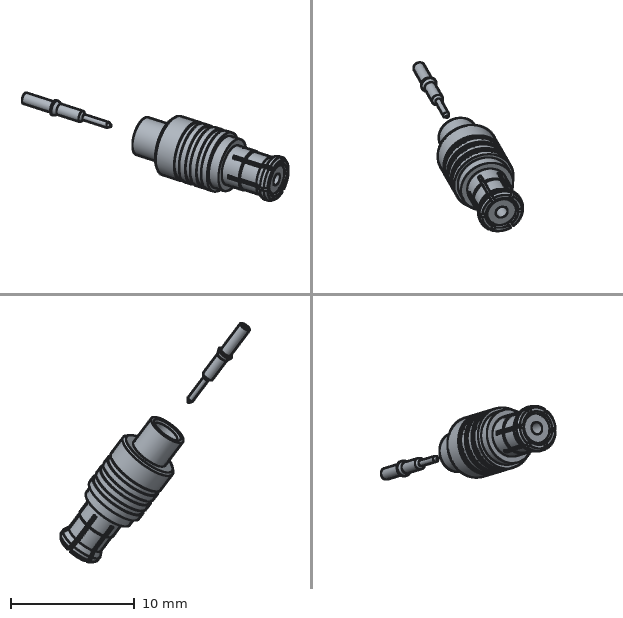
import cadquery as cq


tube_diameter = 3.2
tube_length = 2.55
tube_bore_diameter = 2.24
tube_mouth_diameter = 2.64
tube_mouth_depth = (tube_mouth_diameter - tube_bore_diameter) / 2
grip_diameter = 5.0
grip_length = 5.0
grip_end = tube_length + grip_length
grip_chamfer = 0.2
stop_hole_diameter = 1.75
stop_thickness = 1.0
groove_diameter = 4.8
groove_width = 0.45
groove_pitch = 1.04
groove_count = 3
first_groove_start = 4.45

overall_length = 12.75
flange_diameter = 4.4
flange_end = 8.45
finger_root_diameter = 3.35
finger_root_end = 10.05
finger_taper_length = 0.08
finger_diameter = 3.23
finger_end = 11.65
bead_diameter = 3.7
bead_start = 12.15
bead_end = 12.5
tip_diameter = 3.35
collet_bore_diameter = 2.4
finger_bore_diameter = 2.75
slot_start = 9.05
slot_width = 0.25
slot_count = 6

insulator_recess = 0.13
insulator_end = overall_length - insulator_recess
insulator_hole_diameter = 1.0

pin_start = -11.05
pin_body_diameter = 0.95
pin_body_length = 5.55
pin_bore_diameter = 0.6
pin_bore_depth = 2.5
collar_diameter = 1.27
collar_start = 2.75
collar_land = 0.12
collar_end = 3.25
needle_diameter = 0.5
pin_length = 8.07
needle_end = 7.8
needle_point_diameter = 0.2
pin_shoulder_chamfer = (pin_body_diameter - needle_diameter) / 2


def turned(stations):
    """Solid of revolution about X through (x, diameter) stations, closed along the axis."""
    first_x = stations[0][0]
    last_x = stations[-1][0]
    outline = [(first_x, 0)]
    outline += [(x, diameter / 2) for x, diameter in stations]
    outline += [(last_x, 0)]
    return cq.Workplane("XY").polyline(outline).close().revolve(360, (0, 0, 0), (1, 0, 0))


def cylinder(start, end, diameter):
    return turned([(start, diameter), (end, diameter)])


def make_housing():
    stop_start = grip_end - stop_thickness
    housing = turned([
        (0, tube_diameter),
        (tube_length, tube_diameter),
        (tube_length, grip_diameter - 2 * grip_chamfer),
        (tube_length + grip_chamfer, grip_diameter),
        (grip_end, grip_diameter),
    ])
    cable_bore = turned([
        (0, tube_mouth_diameter),
        (tube_mouth_depth, tube_bore_diameter),
        (stop_start, tube_bore_diameter),
        (stop_start, stop_hole_diameter),
        (grip_end, stop_hole_diameter),
    ])
    housing = housing.cut(cable_bore)
    for index in range(groove_count):
        start = first_groove_start + index * groove_pitch
        end = start + groove_width
        ring = cylinder(start, end, grip_diameter).cut(cylinder(start, end, groove_diameter))
        housing = housing.cut(ring)
    return housing


def make_collet():
    collet = turned([
        (grip_end, flange_diameter),
        (flange_end, flange_diameter),
        (flange_end, finger_root_diameter),
        (finger_root_end, finger_root_diameter),
        (finger_root_end + finger_taper_length, finger_diameter),
        (finger_end, finger_diameter),
        (bead_start, bead_diameter),
        (bead_end, bead_diameter),
        (overall_length, tip_diameter),
    ])
    bore = turned([
        (grip_end, collet_bore_diameter),
        (slot_start, collet_bore_diameter),
        (slot_start, finger_bore_diameter),
        (overall_length, finger_bore_diameter),
    ])
    collet = collet.cut(bore)
    slot_length = overall_length - slot_start
    for index in range(slot_count):
        slot = (
            cq.Workplane("XY")
            .box(slot_length, bead_diameter, slot_width, centered=(False, False, True))
            .translate((slot_start, 0, 0))
            .rotate((0, 0, 0), (1, 0, 0), index * 360 / slot_count)
        )
        collet = collet.cut(slot)
    return collet


def make_insulator():
    insulator = cylinder(grip_end, insulator_end, collet_bore_diameter)
    return insulator.cut(cylinder(grip_end, insulator_end, insulator_hole_diameter))


def make_pin():
    pin = turned([
        (0, pin_body_diameter),
        (collar_start, pin_body_diameter),
        (collar_start, collar_diameter),
        (collar_start + collar_land, collar_diameter),
        (collar_end, pin_body_diameter),
        (pin_body_length - pin_shoulder_chamfer, pin_body_diameter),
        (pin_body_length, needle_diameter),
        (needle_end, needle_diameter),
        (pin_length, needle_point_diameter),
    ])
    pin = pin.cut(cylinder(0, pin_bore_depth, pin_bore_diameter))
    return pin.translate((pin_start, 0, 0))


housing = make_housing()
collet = make_collet()
insulator = make_insulator()
pin = make_pin()

result = cq.Compound.makeCompound([
    housing.val(),
    collet.val(),
    insulator.val(),
    pin.val(),
])